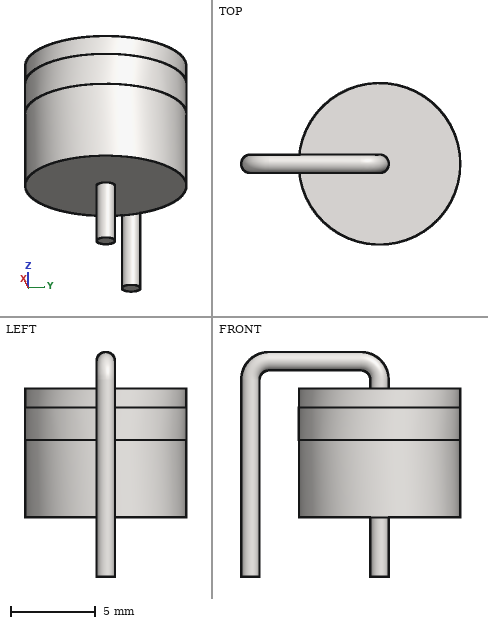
import cadquery as cq


body_diameter = 9.53
body_length = 7.62

band_diameter = 9.55
band_width = 1.905
band_top_gap = 1.143

wire_diameter = 1.1
lead_pitch = 7.62
lead_below_body = 3.5
stub_above_body = 0.5
bend_radius = wire_diameter

lead_end_z = -lead_below_body
bend_start_z = body_length + stub_above_body
bridge_z = bend_start_z + bend_radius
band_bottom_z = body_length - band_top_gap - band_width


def make_body():
    """Plain cylinder with the thin raised polarity band."""
    cylinder = cq.Workplane("XY").circle(body_diameter / 2).extrude(body_length)
    band = (
        cq.Workplane("XY")
        .workplane(offset=band_bottom_z)
        .circle(band_diameter / 2)
        .extrude(band_width)
    )
    return cylinder.union(band)


def make_wire():
    """One round wire: up the body axis, over the top and down to the far lead end."""
    path = (
        cq.Workplane("XZ")
        .moveTo(0, lead_end_z)
        .lineTo(0, bend_start_z)
        .tangentArcPoint((-bend_radius, bridge_z), relative=False)
        .lineTo(-lead_pitch + bend_radius, bridge_z)
        .tangentArcPoint((-lead_pitch, bend_start_z), relative=False)
        .lineTo(-lead_pitch, lead_end_z)
    )
    return (
        cq.Workplane("XY")
        .workplane(offset=lead_end_z)
        .circle(wire_diameter / 2)
        .sweep(path)
    )


result = make_body().union(make_wire())